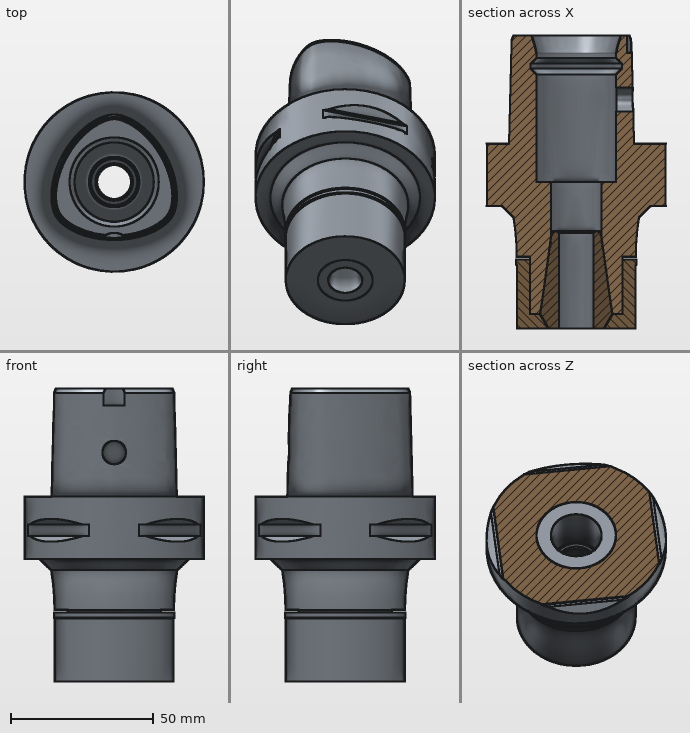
import cadquery as cq
import math

total_height = 103.0
shank_base_z = 65.0
flange_bottom_z = 43.1
flare_bottom_z = 39.1
skirt_bottom_z = 25.2
nut_top_z = 24.3
nut_floor_thickness = 5.2

shank_mean_radius = 22.0
lobe_height = 1.6
shank_taper = 1 / 40
lobed_wire_points = 36
shank_chamfer_height = 1.6
shank_chamfer_width = 0.7

bore_mouth_radius = 15.7
bore_radius = 13.9
bore_lead_in_depth = 6.3
groove_radius = 16.0
groove_top_depth = 7.9
groove_bottom_depth = 13.8
bore_depth = 51.5

notch_radius = 5.7
notch_width = 7.4
notch_depth_z = 6.1
notch_inner_y = 17.8
side_hole_diameter = 8.2
side_hole_z = 80.4
side_hole_floor_y = 14.1

flange_radius = 31.5
flare_top_radius = 26.3
skirt_top_radius = 22.1
skirt_bottom_radius = 21.0
neck_radius = 16.4

slot_count = 4
slot_first_angle = 45.0
slot_floor_distance = 27.6
slot_wall_end_distance = 28.6
slot_floor_half_height = 2.0
slot_mouth_half_height = 4.0
slot_z = 53.1
slot_overrun = 1.0

nut_radius = 20.9
nut_collar_radius = 21.2
nut_collar_height = 1.8

collet_top_z = 34.0
collet_top_radius = 8.5
collet_taper_angle = 8.0
collet_nose_angle = 30.0
collet_bore_radius = 6.0
collet_bore_chamfer = 0.6
collet_spigot_radius = 8.1
collet_spigot_height = 0.3
clearance_hole_radius = 8.9

taper_slope = math.tan(math.radians(collet_taper_angle))
nose_slope = math.tan(math.radians(collet_nose_angle))
collet_max_radius = collet_top_radius + (collet_top_z - nut_floor_thickness) * taper_slope
collet_nose_radius = collet_max_radius - nut_floor_thickness * nose_slope
seat_top_z = collet_top_z - (clearance_hole_radius - collet_top_radius) / taper_slope


def revolve_profile(profile):
    """Turn a closed (radius, height) profile around the Z axis."""
    return profile.close().revolve(360, (0, 0, 0), (0, 1, 0))


def lobed_wire(mean_radius, z):
    """Constant-width three-lobed outline with one lobe on +Y."""
    def point(index):
        angle = 2 * math.pi * index / lobed_wire_points
        along = mean_radius * math.cos(angle) + lobe_height * (2 * math.cos(2 * angle) - math.cos(4 * angle))
        across = mean_radius * math.sin(angle) - lobe_height * (2 * math.sin(2 * angle) + math.sin(4 * angle))
        return cq.Vector(-across, along, z)

    points = [point(i) for i in range(lobed_wire_points)]
    return cq.Wire.assembleEdges([cq.Edge.makeSpline(points, periodic=True)])


def make_shank():
    """Tapered lobed shank with a chamfered end."""
    chamfer_z = total_height - shank_chamfer_height
    chamfer_start_radius = shank_mean_radius - (chamfer_z - shank_base_z) * shank_taper
    base = lobed_wire(shank_mean_radius, shank_base_z)
    shoulder = lobed_wire(chamfer_start_radius, chamfer_z)
    tip = lobed_wire(chamfer_start_radius - shank_chamfer_width, total_height)
    taper = cq.Solid.makeLoft([base, shoulder], True)
    chamfer = cq.Solid.makeLoft([shoulder, tip], True)
    return cq.Workplane(obj=taper).union(cq.Workplane(obj=chamfer))


def make_turned_body():
    """Flange, flare, concave skirt and the neck that enters the nut."""
    skirt_height = flare_bottom_z - skirt_bottom_z
    skirt_rise = skirt_top_radius - skirt_bottom_radius
    skirt_middle = (skirt_bottom_radius + skirt_rise / 4, skirt_bottom_z + skirt_height / 2)
    return revolve_profile(
        cq.Workplane("XZ")
        .moveTo(0, nut_floor_thickness)
        .lineTo(neck_radius, nut_floor_thickness)
        .lineTo(neck_radius, skirt_bottom_z)
        .lineTo(skirt_bottom_radius, skirt_bottom_z)
        .threePointArc(skirt_middle, (skirt_top_radius, flare_bottom_z))
        .lineTo(flare_top_radius, flange_bottom_z)
        .lineTo(flange_radius, flange_bottom_z)
        .lineTo(flange_radius, shank_base_z)
        .lineTo(0, shank_base_z)
    )


def make_inner_cavity():
    """Shank bore with groove, clearance hole and tapered collet seat, as one cutter."""
    groove_step = groove_radius - bore_radius
    bore_floor_z = total_height - bore_depth
    return revolve_profile(
        cq.Workplane("XZ")
        .moveTo(0, total_height)
        .lineTo(bore_mouth_radius, total_height)
        .lineTo(bore_radius, total_height - bore_lead_in_depth)
        .lineTo(bore_radius, total_height - groove_top_depth)
        .lineTo(groove_radius, total_height - groove_top_depth - groove_step)
        .lineTo(groove_radius, total_height - groove_bottom_depth + groove_step)
        .lineTo(bore_radius, total_height - groove_bottom_depth)
        .lineTo(bore_radius, bore_floor_z)
        .lineTo(clearance_hole_radius, bore_floor_z)
        .lineTo(clearance_hole_radius, seat_top_z)
        .lineTo(collet_max_radius, nut_floor_thickness)
        .lineTo(0, nut_floor_thickness)
    )


def make_notch():
    """Notch in the -Y edge of the shank's end face, with a rounded back and straight sides."""
    top = cq.Workplane("XY", origin=(0, -notch_inner_y - notch_radius, total_height))
    round_back = top.circle(notch_radius).extrude(-notch_depth_z)
    straight_sides = top.rect(notch_width, 2 * notch_radius).extrude(-notch_depth_z)
    return round_back.intersect(straight_sides)


def make_side_hole():
    """Blind radial hole entering the shank from -Y."""
    return (
        cq.Workplane("XZ", origin=(0, -side_hole_floor_y, side_hole_z))
        .circle(side_hole_diameter / 2)
        .extrude(shank_mean_radius - side_hole_floor_y)
    )


def make_gripper_slot(angle):
    """Straight slot across the flange, with a flared mouth."""
    flare = (slot_mouth_half_height - slot_floor_half_height) / (flange_radius - slot_wall_end_distance)
    outer_distance = flange_radius + slot_overrun
    outer_half_height = slot_floor_half_height + flare * (outer_distance - slot_wall_end_distance)
    profile = [
        (slot_floor_distance, -slot_floor_half_height),
        (slot_wall_end_distance, -slot_floor_half_height),
        (outer_distance, -outer_half_height),
        (outer_distance, outer_half_height),
        (slot_wall_end_distance, slot_floor_half_height),
        (slot_floor_distance, slot_floor_half_height),
    ]
    slot = cq.Workplane("XZ", origin=(0, 0, slot_z)).polyline(profile).close().extrude(flange_radius, both=True)
    return slot.rotate((0, 0, 0), (0, 0, 1), angle)


def make_holder():
    holder = make_turned_body().union(make_shank())
    holder = holder.cut(make_inner_cavity()).cut(make_notch()).cut(make_side_hole())
    for i in range(slot_count):
        holder = holder.cut(make_gripper_slot(slot_first_angle + i * 360 / slot_count))
    return holder


def make_nut():
    """Cup that fits round the neck, with a collar on top and a conical hole for the collet nose."""
    collar_bottom_z = nut_top_z - nut_collar_height
    collar_step = nut_collar_radius - nut_radius
    return revolve_profile(
        cq.Workplane("XZ")
        .moveTo(collet_nose_radius, 0)
        .lineTo(nut_radius, 0)
        .lineTo(nut_radius, collar_bottom_z - collar_step)
        .lineTo(nut_collar_radius, collar_bottom_z)
        .lineTo(nut_collar_radius, nut_top_z)
        .lineTo(neck_radius, nut_top_z)
        .lineTo(neck_radius, nut_floor_thickness)
        .lineTo(collet_max_radius, nut_floor_thickness)
    )


def make_collet():
    """Double-cone sleeve with a low spigot on top and a through bore chamfered at its upper end."""
    spigot_top_z = collet_top_z + collet_spigot_height
    return revolve_profile(
        cq.Workplane("XZ")
        .moveTo(collet_bore_radius, 0)
        .lineTo(collet_nose_radius, 0)
        .lineTo(collet_max_radius, nut_floor_thickness)
        .lineTo(collet_top_radius, collet_top_z)
        .lineTo(collet_spigot_radius, collet_top_z)
        .lineTo(collet_spigot_radius, spigot_top_z)
        .lineTo(collet_bore_radius + collet_bore_chamfer, spigot_top_z)
        .lineTo(collet_bore_radius, spigot_top_z - collet_bore_chamfer)
    )


holder = make_holder()
nut = make_nut()
collet = make_collet()

result = cq.Compound.makeCompound([holder.solids().val(), nut.val(), collet.val()])